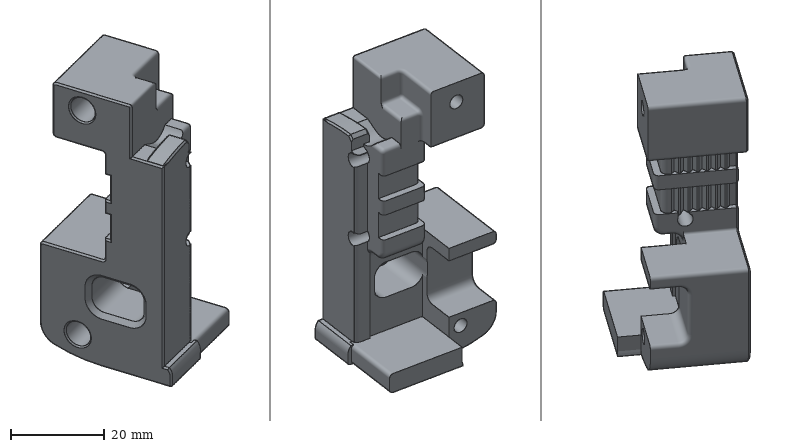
import cadquery as cq
import math

HEIGHT = 68.75
FOOT_X = 32.4
STRIP_X = 30.4
UPPER_LEFT_X = 3.1
UPPER_RIGHT_X = 22.5
WALL_X = 15.9
LEDGE_Z = 27.2
UPPER_BOTTOM_Z = 54.8
SHOULDER_Z = 55.6
FOOT_Z = 4.75
BELLY_X = 14.8
BELLY_RADIUS = 35.75
BELLY_CORNER_RADIUS = 5.1
LOBE_RADIUS = 0.95
INNER_RADIUS = 0.6
UPPER_RIGHT_RADIUS = 0.6
FOOT_ARC_WIDTH = 0.8
FOOT_ARC_HEIGHT = 2.0
FOOT_BOTTOM_RADIUS = 0.7
FRONT_CHAMFER = 0.4

LOBE_DEPTH = 21.7
UPPER_FRONT_DEPTH = 10.85
WEB_DEPTH = 11.95
STRIP_DEPTH = 12.6
PLATE_DEPTH = 18.3
TAB_DEPTH = 26.8

LOWER_LOBE_X = 12.4
UPPER_LOBE_X = 17.1
PLATE_X = 27.2
PLATE_BOTTOM_Z = 27.35
PLATE_START_Y = 0.7
PLATEAU_Z = 61.9
PLATE_EDGE_RADIUS = 1.1
PLATE_CORNER_RADIUS = 2.05
PLATE_ROOT_RADIUS = 2.5
PLATE_TOP_RADIUS = 0.95
NOTCH_EDGE_RADIUS = 0.8
STRIP_CORNER_RADIUS = 1.4

TAB_LEFT_X = 12.25
TAB_LIP_BEND = (12.4, 0.6)
TAB_LIP_TOP = (12.5, 1.1)
TAB_RIGHT_X = 31.5
TAB_Z = 4.8
TAB_RADIUS = 0.95

CHANNEL_SPANS = ((32.85, 39.2), (42.75, 49.15))
CHANNEL_BASE_X = 17.2
CREST_X = 16.2
TOOTH_START_Y = 1.7
TOOTH_CREST = 0.4
TOOTH_COUNT = 7
TOOTH_ROW_LENGTH = 12.0
TOOTH_PITCH = TOOTH_ROW_LENGTH / (TOOTH_COUNT - 1)
CHANNEL_BACK_Y = 16.65
CHANNEL_BACK_RADIUS = 1.45
TIE_HOLE_Y = 11.55
TIE_HOLE_ZS = (31.0, 51.0)
HOLE_DIAMETER = 3.4
LINK_SPAN = (10.65, 13.1)

UPPER_SCREW = (10.45, 63.9)
LOWER_SCREW = (9.35, 6.45)
HEAD_DIAMETER = 6.0
HEAD_DEPTH = 11.0
HEAD_CHAMFER = 0.35
BRIDGE_STEP = 0.35

WINDOW_LEFT, WINDOW_RIGHT = 12.25, 25.0
WINDOW_BOTTOM, WINDOW_TOP = 13.3, 22.2
WINDOW_RADIUS = 3.1
WINDOW_CHAMFER = 1.1

OPENING_Y = 13.5
OPENING_BOTTOM, OPENING_TOP = 9.7, 24.05
OPENING_RADIUS = 2.05
OPENING_EDGE_RADIUS = 0.95

GROOVE_START_Y, GROOVE_ARC_Y, GROOVE_END_Y = 5.85, 8.95, 14.8
GROOVE_SLOPE = math.radians(25)
GROOVE_LIP_ANGLE = math.radians(53)
CATCH_LEFT_X = 25.7
CATCH_BACK_Y = 11.1
CATCH_TOP_Z = 56.8
CATCH_FRONT_Z = 55.7
CATCH_ROOT_Z = 52.25
CATCH_CHAMFER = 0.4
CATCH_BACK_CHAMFER = 0.8

FAR = 2 * HEIGHT
OVERLAP = 0.7
TOUCH = 0.1


def block(x_span, y_span, z_span):
    size = [b - a for a, b in (x_span, y_span, z_span)]
    return cq.Workplane("XY").box(*size, centered=False).translate((x_span[0], y_span[0], z_span[0]))


def near(x_span, y_span, z_span):
    """Selector for edges whose centre lies within TOUCH of the given ranges."""
    spans = (x_span, y_span, z_span)
    low = tuple(span[0] - TOUCH for span in spans)
    high = tuple(span[1] + TOUCH for span in spans)
    return cq.selectors.BoxSelector(low, high)


def front_plane(y=0.0):
    """Sketch plane with local axes X and Z; negative lengths extrude toward +Y."""
    return cq.Workplane("XZ", origin=(0, y, 0))


def round_upright_corners(solid, corners, radius):
    """Round the edges along Y that pass through the given (x, z) corners."""
    for x, z in corners:
        solid = solid.edges("|Y").edges(near((x, x), (0, FAR), (z, z))).fillet(radius)
    return solid


def outline_prism():
    """Full-depth outline with rounded corners and a chamfered front rim."""
    left_z = BELLY_RADIUS - math.sqrt(BELLY_RADIUS**2 - BELLY_X**2)
    half_angle = math.asin(BELLY_X / BELLY_RADIUS) / 2
    middle = (
        BELLY_X - BELLY_RADIUS * math.sin(half_angle),
        BELLY_RADIUS - BELLY_RADIUS * math.cos(half_angle),
    )
    foot_arc_radius = (FOOT_ARC_WIDTH**2 + FOOT_ARC_HEIGHT**2) / (2 * FOOT_ARC_WIDTH)
    prism = (
        front_plane()
        .moveTo(0, left_z)
        .lineTo(0, LEDGE_Z)
        .lineTo(WALL_X, LEDGE_Z)
        .lineTo(WALL_X, UPPER_BOTTOM_Z)
        .lineTo(UPPER_LEFT_X, UPPER_BOTTOM_Z)
        .lineTo(UPPER_LEFT_X, HEIGHT)
        .lineTo(UPPER_RIGHT_X, HEIGHT)
        .lineTo(UPPER_RIGHT_X, SHOULDER_Z)
        .lineTo(STRIP_X, SHOULDER_Z)
        .lineTo(STRIP_X, FOOT_Z)
        .lineTo(FOOT_X - FOOT_ARC_WIDTH, FOOT_Z)
        .radiusArc((FOOT_X, FOOT_Z - FOOT_ARC_HEIGHT), foot_arc_radius)
        .lineTo(FOOT_X, 0)
        .lineTo(BELLY_X, 0)
        .threePointArc(middle, (0, left_z))
        .close()
        .extrude(-LOBE_DEPTH)
    )
    lobe_corners = ((0, LEDGE_Z), (UPPER_LEFT_X, UPPER_BOTTOM_Z), (UPPER_LEFT_X, HEIGHT))
    inner_corners = ((WALL_X, LEDGE_Z), (WALL_X, UPPER_BOTTOM_Z))
    prism = round_upright_corners(prism, ((0, left_z),), BELLY_CORNER_RADIUS)
    prism = round_upright_corners(prism, lobe_corners, LOBE_RADIUS)
    prism = round_upright_corners(prism, inner_corners, INNER_RADIUS)
    prism = round_upright_corners(prism, ((UPPER_RIGHT_X, HEIGHT),), UPPER_RIGHT_RADIUS)
    prism = round_upright_corners(prism, ((FOOT_X, 0),), FOOT_BOTTOM_RADIUS)
    for span in CHANNEL_SPANS:
        prism = prism.cut(block((WALL_X, CHANNEL_BASE_X), (0, TOOTH_START_Y), span))
    return prism.faces("<Y").edges().chamfer(FRONT_CHAMFER)


def clamp_plate():
    """Thicker upright plate that carries the belt channels."""
    root_z = PLATE_BOTTOM_Z - PLATE_ROOT_RADIUS
    root_y = WEB_DEPTH + PLATE_ROOT_RADIUS
    plate = (
        cq.Workplane("YZ", origin=(WALL_X, 0, 0))
        .moveTo(PLATE_START_Y, root_z)
        .lineTo(WEB_DEPTH, root_z)
        .radiusArc((root_y, PLATE_BOTTOM_Z), PLATE_ROOT_RADIUS)
        .lineTo(PLATE_DEPTH - PLATE_CORNER_RADIUS, PLATE_BOTTOM_Z)
        .radiusArc((PLATE_DEPTH, PLATE_BOTTOM_Z + PLATE_CORNER_RADIUS), -PLATE_CORNER_RADIUS)
        .lineTo(PLATE_DEPTH, PLATEAU_Z)
        .lineTo(PLATE_START_Y, PLATEAU_Z)
        .close()
        .extrude(PLATE_X - WALL_X)
    )
    left_rear = near((WALL_X, WALL_X), (WEB_DEPTH + TOUCH, FAR), (root_z + 2 * TOUCH, PLATEAU_Z - 2 * TOUCH))
    plate = plate.edges(left_rear).fillet(PLATE_EDGE_RADIUS)
    above_shoulder = block((UPPER_RIGHT_X, PLATE_X), (0, PLATE_DEPTH), (SHOULDER_Z, PLATEAU_Z))
    plate = plate.cut(above_shoulder)
    plate = plate.edges("|Z and >X and >Y").fillet(PLATE_TOP_RADIUS)
    shoulder_rim = near((UPPER_RIGHT_X + OVERLAP, FAR), (GROOVE_START_Y, FAR), (SHOULDER_Z, SHOULDER_Z))
    plate = plate.edges(shoulder_rim).fillet(PLATE_TOP_RADIUS)
    return plate.faces(">Z").edges(">Y or >X").fillet(NOTCH_EDGE_RADIUS)


def groove_cutter():
    """Dip across the shoulder: a straight slope running into a hollow arc."""
    radius = (GROOVE_END_Y - GROOVE_ARC_Y) / (math.sin(GROOVE_SLOPE) + math.sin(GROOVE_LIP_ANGLE))
    arc_z = SHOULDER_Z - (GROOVE_ARC_Y - GROOVE_START_Y) * math.tan(GROOVE_SLOPE)
    centre_y = GROOVE_ARC_Y + radius * math.sin(GROOVE_SLOPE)
    centre_z = arc_z + radius * math.cos(GROOVE_SLOPE)
    lip_z = centre_z - radius * math.cos(GROOVE_LIP_ANGLE)
    hollow = (
        cq.Workplane("YZ", origin=(UPPER_RIGHT_X, 0, 0))
        .moveTo(GROOVE_START_Y, SHOULDER_Z)
        .lineTo(GROOVE_ARC_Y, arc_z)
        .threePointArc((centre_y, centre_z - radius), (GROOVE_END_Y, lip_z))
        .lineTo(GROOVE_END_Y, SHOULDER_Z + OVERLAP)
        .lineTo(GROOVE_START_Y, SHOULDER_Z + OVERLAP)
        .close()
        .extrude(PLATE_X - UPPER_RIGHT_X)
    )
    slope_end_z = SHOULDER_Z - (GROOVE_END_Y - GROOVE_START_Y) * math.tan(GROOVE_SLOPE)
    slope = (
        cq.Workplane("YZ", origin=(PLATE_X, 0, 0))
        .moveTo(GROOVE_START_Y, SHOULDER_Z)
        .lineTo(GROOVE_END_Y, slope_end_z)
        .lineTo(GROOVE_END_Y, SHOULDER_Z)
        .close()
        .extrude(STRIP_X - PLATE_X)
    )
    return hollow.union(slope)


def catch():
    """Crowned bump on top of the shoulder."""
    radius = (CATCH_BACK_Y - FRONT_CHAMFER) ** 2 / (2 * (CATCH_TOP_Z - CATCH_FRONT_Z))
    bump = (
        cq.Workplane("YZ", origin=(CATCH_LEFT_X, 0, 0))
        .moveTo(FRONT_CHAMFER, CATCH_ROOT_Z)
        .lineTo(FRONT_CHAMFER, CATCH_FRONT_Z)
        .radiusArc((CATCH_BACK_Y, CATCH_TOP_Z), radius)
        .lineTo(CATCH_BACK_Y, CATCH_ROOT_Z)
        .close()
        .extrude(STRIP_X - CATCH_LEFT_X)
    )
    top_edges = near((0, FAR), (OVERLAP, FAR), (CATCH_FRONT_Z + TOUCH, HEIGHT))
    bump = bump.edges(">Z").chamfer(CATCH_BACK_CHAMFER)
    return bump.edges(top_edges).edges("<X or >X").chamfer(CATCH_CHAMFER)


def belt_bed():
    """Material left under the belt: a toothed left side and a rounded back corner."""
    flank = (TOOTH_PITCH - TOOTH_CREST) / 2
    bed = cq.Workplane("XY").moveTo(FAR, 0).lineTo(CHANNEL_BASE_X, 0)
    for i in range(TOOTH_COUNT):
        valley_y = TOOTH_START_Y + i * TOOTH_PITCH
        bed = bed.lineTo(CHANNEL_BASE_X, valley_y).lineTo(CREST_X, valley_y + flank)
        if i < TOOTH_COUNT - 1:
            bed = bed.lineTo(CREST_X, valley_y + flank + TOOTH_CREST)
    return (
        bed.lineTo(CREST_X, CHANNEL_BACK_Y - CHANNEL_BACK_RADIUS)
        .radiusArc((CREST_X + CHANNEL_BACK_RADIUS, CHANNEL_BACK_Y), CHANNEL_BACK_RADIUS)
        .lineTo(FAR, CHANNEL_BACK_Y)
        .close()
        .extrude(HEIGHT)
    )


def channel_cutter():
    """Belt channels around the clamp plate, with the slots that lead to the tie holes."""
    across = (WALL_X, FAR)
    lower_span, upper_span = CHANNEL_SPANS
    lower_hole_z, upper_hole_z = TIE_HOLE_ZS
    cutter = block(across, LINK_SPAN, (lower_hole_z, lower_span[0]))
    cutter = cutter.union(block(across, LINK_SPAN, (upper_span[1], upper_hole_z)))
    for span in CHANNEL_SPANS:
        cutter = cutter.union(block(across, (0, PLATE_DEPTH), span))
    return cutter.cut(belt_bed())


def window_cutter():
    width = WINDOW_RIGHT - WINDOW_LEFT
    height = WINDOW_TOP - WINDOW_BOTTOM
    centre = ((WINDOW_LEFT + WINDOW_RIGHT) / 2, (WINDOW_BOTTOM + WINDOW_TOP) / 2)
    through = front_plane().center(*centre).rect(width, height).extrude(-LOBE_DEPTH)
    through = through.edges("|Y").fillet(WINDOW_RADIUS)
    flare = (
        front_plane().center(*centre)
        .rect(width + 2 * WINDOW_CHAMFER, height + 2 * WINDOW_CHAMFER)
        .extrude(-2 * WINDOW_CHAMFER)
        .edges("|Y").fillet(WINDOW_RADIUS + WINDOW_CHAMFER)
        .faces(">Y").chamfer(WINDOW_CHAMFER)
    )
    flare = flare.translate((0, -WINDOW_CHAMFER, 0))
    return through.union(flare)


def cone_cutter(centre, y, start_diameter, end_diameter):
    """45 degree cone narrowing toward +Y."""
    length = (start_diameter - end_diameter) / 2
    cone = cq.Solid.makeCone(
        start_diameter / 2, end_diameter / 2, length,
        cq.Vector(centre[0], y, centre[1]), cq.Vector(0, 1, 0),
    )
    return cq.Workplane(cone)


def head_bore(centre):
    """Through hole with a deep, chamfered bore for the screw head."""
    bore = front_plane().center(*centre).circle(HEAD_DIAMETER / 2).extrude(-HEAD_DEPTH)
    hole = front_plane().center(*centre).circle(HOLE_DIAMETER / 2).extrude(-LOBE_DEPTH)
    mouth = cone_cutter(centre, 0, HEAD_DIAMETER + 2 * HEAD_CHAMFER, HEAD_DIAMETER)
    return bore.union(hole).union(mouth)


def upper_screw_cutter():
    """The bore floor steps to a slot, then to a square, before the round hole."""
    floor = front_plane(HEAD_DEPTH).center(*UPPER_SCREW)
    bore_shadow = floor.circle(HEAD_DIAMETER / 2).extrude(-BRIDGE_STEP)
    slot = floor.rect(HOLE_DIAMETER, HEAD_DIAMETER).extrude(-BRIDGE_STEP).intersect(bore_shadow)
    square = floor.rect(HOLE_DIAMETER, HOLE_DIAMETER).extrude(-2 * BRIDGE_STEP)
    return head_bore(UPPER_SCREW).union(slot).union(square)


def lower_screw_cutter():
    """The bore floor is a countersink."""
    return head_bore(LOWER_SCREW).union(cone_cutter(LOWER_SCREW, HEAD_DEPTH, HEAD_DIAMETER, HOLE_DIAMETER))


def lower_lobe_region():
    """Deep left part of the lower lobe, opened from the rear by a rounded notch."""
    opening = block((0, LOWER_LOBE_X), (OPENING_Y, LOBE_DEPTH), (OPENING_BOTTOM, OPENING_TOP))
    opening = opening.edges("|X and <Y").fillet(OPENING_RADIUS)
    region = block((0, LOWER_LOBE_X), (0, LOBE_DEPTH), (0, LEDGE_Z)).cut(opening)
    rim = near((0, 0), (OPENING_Y, LOBE_DEPTH - OVERLAP), (OPENING_BOTTOM, OPENING_TOP))
    return region.edges(rim).fillet(OPENING_EDGE_RADIUS)


def upper_lobe_region():
    """L-shaped upper lobe, deep on the left, with a rounded rim around its rear notch."""
    z_span = (UPPER_BOTTOM_Z, HEIGHT)
    region = block((0, FOOT_X), (0, UPPER_FRONT_DEPTH), z_span)
    region = region.union(block((0, UPPER_LOBE_X), (0, LOBE_DEPTH), z_span))
    inner_edge = near((UPPER_LOBE_X, UPPER_LOBE_X), (UPPER_FRONT_DEPTH, UPPER_FRONT_DEPTH), z_span)
    region = region.edges("|Z").edges(inner_edge).fillet(NOTCH_EDGE_RADIUS)
    notch_rim = near(
        (UPPER_LOBE_X, FOOT_X - OVERLAP), (UPPER_FRONT_DEPTH, LOBE_DEPTH - OVERLAP), (HEIGHT, HEIGHT)
    )
    return region.edges(notch_rim).fillet(NOTCH_EDGE_RADIUS)


def strip_region():
    """Right strip of the upright, rounded at its rear corner."""
    strip = block((PLATE_X - OVERLAP, STRIP_X), (0, STRIP_DEPTH), (0, SHOULDER_Z))
    return strip.edges("|Z and >X and >Y").fillet(STRIP_CORNER_RADIUS)


def rear_tab():
    """Flat tab at the bottom rear; its left side slopes out into a small lip."""
    start_y = WEB_DEPTH - OVERLAP
    tab = (
        front_plane(start_y)
        .moveTo(TAB_LEFT_X, 0)
        .lineTo(*TAB_LIP_BEND)
        .lineTo(*TAB_LIP_TOP)
        .lineTo(TAB_LIP_TOP[0], TAB_Z)
        .lineTo(TAB_RIGHT_X, TAB_Z)
        .lineTo(TAB_RIGHT_X, 0)
        .close()
        .extrude(start_y - TAB_DEPTH)
    )
    return tab.edges("|Y and >X").fillet(TAB_RADIUS)


def round_plateau_foot(solid):
    """Round the plateau's foot; the rounding carries on down the corner behind the plate."""
    foot = near(
        (UPPER_LOBE_X, UPPER_RIGHT_X - NOTCH_EDGE_RADIUS - 2 * TOUCH),
        (UPPER_FRONT_DEPTH, PLATE_DEPTH - NOTCH_EDGE_RADIUS - 2 * TOUCH),
        (PLATEAU_Z, PLATEAU_Z),
    )
    return solid.edges(foot).fillet(NOTCH_EDGE_RADIUS)


def tie_holes():
    centres = [(TIE_HOLE_Y, z) for z in TIE_HOLE_ZS]
    return cq.Workplane("YZ").pushPoints(centres).circle(HOLE_DIAMETER / 2).extrude(FOOT_X)


web = block((0, FOOT_X), (0, WEB_DEPTH), (0, UPPER_BOTTOM_Z))
foot_region = block((STRIP_X - OVERLAP, FOOT_X), (0, STRIP_DEPTH), (0, FOOT_Z))
upper_root = block(
    (0, UPPER_LOBE_X),
    (0, PLATE_DEPTH - PLATE_EDGE_RADIUS),
    (UPPER_BOTTOM_Z - INNER_RADIUS, UPPER_BOTTOM_Z),
)

prism = outline_prism()
body = prism.intersect(web)
for region in (lower_lobe_region(), upper_lobe_region(), upper_root, strip_region(), foot_region):
    body = body.union(prism.intersect(region))
body = round_plateau_foot(body.union(clamp_plate()))
body = body.union(rear_tab())
body = body.cut(groove_cutter()).union(catch())

for cutter in (channel_cutter(), tie_holes(), window_cutter(), upper_screw_cutter(), lower_screw_cutter()):
    body = body.cut(cutter)

result = body